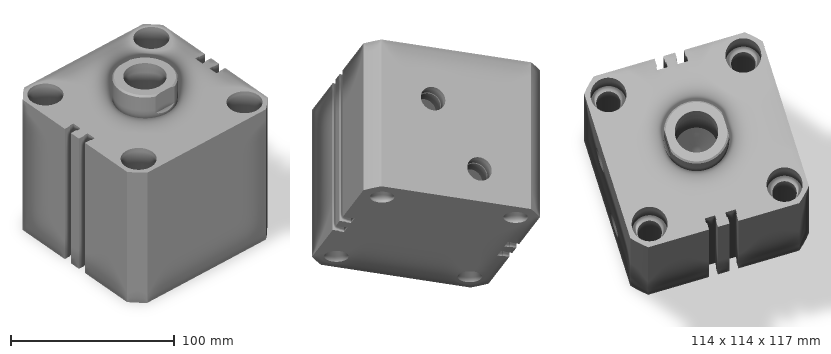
import cadquery as cq
import math

block_width = 114.0
total_height = 117.0
block_height = 100.0
half_width = block_width / 2
corner_radius = 74.6

hole_offset = 43.0
hole_diameter = 15.0
counterbore_diameter = 22.0
counterbore_depth = 17.5

slot_offset = 6.5
slot_neck_width = 5.6
slot_neck_depth = 4.5
slot_head_width = 6.7
slot_depth = 7.5

port_offset = 15.0
upper_port_height = 65.0
lower_port_height = 22.0
port_diameter = 15.8
port_depth = 8.0
port_bottom_diameter = 14.7
port_bottom_depth = 16.4

rod_diameter = 40.0
rod_radius = rod_diameter / 2
rod_length = 58.5
rod_bottom = total_height - rod_length
rod_chamfer = 1.0
flat_spacing = 37.0
flat_bottom = block_height + 3.2
rod_bore_diameter = 26.6
rod_bore_depth = 35.1
drill_point_angle = 120.0


def make_block():
    """Square prism with its corners trimmed to a large circle about the axis."""
    square = cq.Workplane("XY").rect(block_width, block_width).extrude(block_height)
    round_stock = cq.Workplane("XY").circle(corner_radius).extrude(block_height)
    return square.intersect(round_stock)


def make_mounting_holes():
    """Four counterbored through holes, one in each corner."""
    centres = [(x, y) for x in (-hole_offset, hole_offset) for y in (-hole_offset, hole_offset)]
    through = cq.Workplane("XY").pushPoints(centres).circle(hole_diameter / 2).extrude(block_height)
    counterbores = (
        cq.Workplane("XY", origin=(0, 0, block_height))
        .pushPoints(centres)
        .circle(counterbore_diameter / 2)
        .extrude(-counterbore_depth)
    )
    return through.union(counterbores)


def make_sensor_slot(x, side):
    """Full-height T-slot centred at x on the side of the block facing side * Y."""
    neck_centre = side * (half_width - slot_neck_depth / 2)
    head_depth = slot_depth - slot_neck_depth
    head_centre = side * (half_width - slot_neck_depth - head_depth / 2)
    neck = cq.Workplane("XY").center(x, neck_centre).rect(slot_neck_width, slot_neck_depth)
    head = cq.Workplane("XY").center(x, head_centre).rect(slot_head_width, head_depth)
    return neck.extrude(block_height).union(head.extrude(block_height))


def make_port(y, z):
    """Stepped blind hole running inward from the -X side."""
    mouth = cq.Workplane("YZ", origin=(-half_width, y, z))
    outer_part = mouth.circle(port_diameter / 2).extrude(port_depth)
    bottom_part = mouth.circle(port_bottom_diameter / 2).extrude(port_bottom_depth)
    return outer_part.union(bottom_part)


def make_housing():
    """Cylinder housing with a recess that fits the piston rod."""
    housing = make_block().cut(make_mounting_holes())
    for side in (-1, 1):
        for x in (-slot_offset, slot_offset):
            housing = housing.cut(make_sensor_slot(x, side))
    housing = housing.cut(make_port(port_offset, upper_port_height))
    housing = housing.cut(make_port(-port_offset, lower_port_height))
    rod_recess = (
        cq.Workplane("XY", origin=(0, 0, rod_bottom)).circle(rod_radius).extrude(block_height - rod_bottom)
    )
    return housing.cut(rod_recess)


def make_rod_bore():
    """Blind hole with a conical drill point, opening at the rod's top end."""
    bore_radius = rod_bore_diameter / 2
    cone_height = bore_radius / math.tan(math.radians(drill_point_angle / 2))
    bore_floor = total_height - rod_bore_depth
    return (
        cq.Workplane("XZ")
        .moveTo(0, total_height)
        .lineTo(bore_radius, total_height)
        .lineTo(bore_radius, bore_floor)
        .lineTo(0, bore_floor - cone_height)
        .close()
        .revolve(360, (0, 0, 0), (0, 1, 0))
    )


def make_wrench_flat(side):
    """Cutter for the flat facing side * X, running out at 45 degrees at its lower end."""
    flat_x = flat_spacing / 2
    run_out = rod_radius - flat_x
    return (
        cq.Workplane("XZ")
        .moveTo(side * flat_x, total_height)
        .lineTo(side * flat_x, flat_bottom)
        .lineTo(side * rod_radius, flat_bottom - run_out)
        .lineTo(side * rod_radius, total_height)
        .close()
        .extrude(rod_radius, both=True)
    )


def make_piston_rod():
    """Hollow-ended rod with two wrench flats."""
    rod = cq.Workplane("XY", origin=(0, 0, rod_bottom)).circle(rod_radius).extrude(rod_length)
    rod = rod.faces(">Z").chamfer(rod_chamfer)
    for side in (-1, 1):
        rod = rod.cut(make_wrench_flat(side))
    return rod.cut(make_rod_bore())


housing = make_housing()
piston_rod = make_piston_rod()

result = cq.Compound.makeCompound([housing.val(), piston_rod.val()])